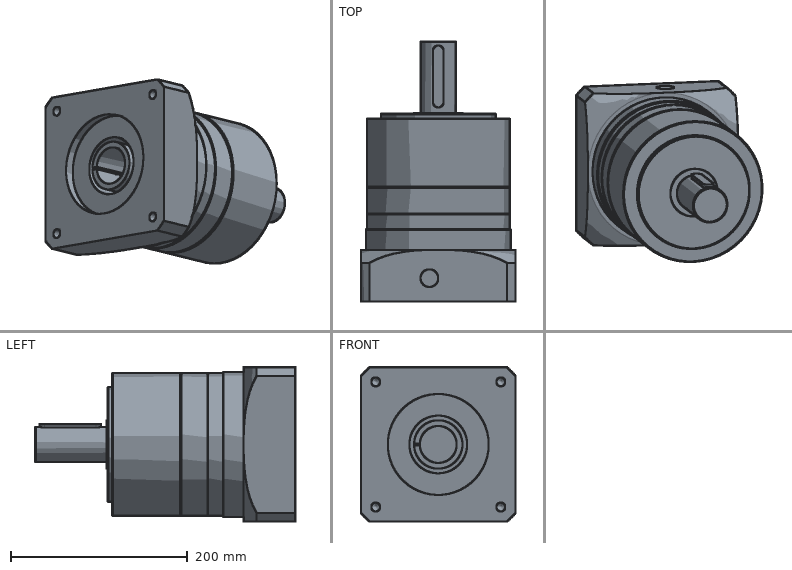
import cadquery as cq
import math


TOTAL_LENGTH = 294.5
PLATE_BACK_Y = 58.5
INPUT_STEP_Y = 82.2
RING_FRONT_Y = 98.7
OUTPUT_FRONT_Y = 129.5
HOUSING_END_Y = 207.3
PILOT_END_Y = 212.5
COLLAR_END_Y = 213.5

BODY_R = 81.0
INPUT_FLANGE_R = 82.2
PILOT_R = 65.0
COLLAR_R = 27.5
SHAFT_R = 20.0
EDGE_CHAMFER = 1.0
GROOVE_WIDTH = 1.0
GROOVE_DEPTH = 1.0

KEY_WIDTH = 12.0
KEY_LENGTH = 70.0
KEY_HEIGHT = 8.0
KEY_PROUD = 3.0
KEY_END_GAP = 4.7
KEY_BOTTOM_Z = SHAFT_R + KEY_PROUD - KEY_HEIGHT
KEY_CENTER_Y = TOTAL_LENGTH - KEY_END_GAP - KEY_LENGTH / 2

PLATE_SIDE = 175.0
PLATE_HALF = PLATE_SIDE / 2
CORNER_R = 117.0
SHOULDER_Y = 44.0
CROWN_MID_R = 102.8
CROWN_MID_Y = 53.3
POCKET_R = 57.0
POCKET_DEPTH = 11.8
PLATE_BORE_R = 32.7
BOLT_CIRCLE_R = 100.0
BOLT_HOLE_R = 5.0
BOLT_HOLE_DEPTH = 26.5
DRILL_TIP_ANGLE = 118.0

PLUG_R = 10.0
PLUG_DEPTH = 8.8
PLUG_X = -10.0
PLUG_Y = 26.5

HUB_R = 27.5
HUB_FRONT_Y = 11.0
HUB_BORE_R = 21.0
HUB_BORE_END_Y = INPUT_STEP_Y
SLIT_WIDTH = 2.7


def cylinder(radius, start_y, end_y):
    """Solid cylinder on the gearbox axis between two Y positions."""
    return cq.Workplane("XZ", origin=(0, start_y, 0)).circle(radius).extrude(start_y - end_y)


def key_shape():
    """Round-ended key lying along the shaft."""
    return (
        cq.Workplane("XY", origin=(0, KEY_CENTER_Y, KEY_BOTTOM_Z))
        .slot2D(KEY_LENGTH, KEY_WIDTH, 90)
        .extrude(KEY_HEIGHT)
    )


def plug_shape():
    """Round plug flush with the top side of the plate."""
    return (
        cq.Workplane("XY", origin=(PLUG_X, PLUG_Y, PLATE_HALF - PLUG_DEPTH))
        .circle(PLUG_R)
        .extrude(PLUG_DEPTH)
    )


def make_output_unit():
    """Output housing with pilot, collar and keyed shaft."""
    housing = cylinder(BODY_R, OUTPUT_FRONT_Y, HOUSING_END_Y).edges().chamfer(EDGE_CHAMFER)
    pilot = cylinder(PILOT_R, HOUSING_END_Y, PILOT_END_Y).faces(">Y").edges().chamfer(EDGE_CHAMFER)
    collar = cylinder(COLLAR_R, PILOT_END_Y, COLLAR_END_Y)
    shaft = cylinder(SHAFT_R, COLLAR_END_Y, TOTAL_LENGTH).faces(">Y").edges().chamfer(EDGE_CHAMFER)
    return housing.union(pilot).union(collar).union(shaft).cut(key_shape())


def make_ring_gear():
    """Plain ring gear section with a shallow groove beside each neighbour."""
    groove_r = BODY_R - GROOVE_DEPTH
    core = cylinder(groove_r, RING_FRONT_Y, OUTPUT_FRONT_Y)
    band = cylinder(BODY_R, RING_FRONT_Y + GROOVE_WIDTH, OUTPUT_FRONT_Y - GROOVE_WIDTH)
    return core.union(band)


def make_input_housing():
    """Stepped input housing with the slit clamp hub reaching into the plate."""
    flange = cylinder(INPUT_FLANGE_R, PLATE_BACK_Y, INPUT_STEP_Y)
    flange = flange.faces(">Y").edges().chamfer(EDGE_CHAMFER)
    body = cylinder(BODY_R, INPUT_STEP_Y, RING_FRONT_Y)
    hub = cylinder(HUB_R, HUB_FRONT_Y, PLATE_BACK_Y)
    bore = cylinder(HUB_BORE_R, HUB_FRONT_Y, HUB_BORE_END_Y)
    slit = cq.Workplane("XY").box(
        HUB_R, PLATE_BACK_Y - HUB_FRONT_Y, SLIT_WIDTH, centered=(False, False, True)
    ).translate((-HUB_R, HUB_FRONT_Y, 0))
    return flange.union(body).union(hub).cut(bore).cut(slit)


def bolt_hole():
    """Blind drilled hole with a conical tip, on the gearbox axis."""
    tip_depth = BOLT_HOLE_R / math.tan(math.radians(DRILL_TIP_ANGLE / 2))
    return (
        cq.Workplane("XY")
        .lineTo(BOLT_HOLE_R, 0)
        .lineTo(BOLT_HOLE_R, BOLT_HOLE_DEPTH)
        .lineTo(0, BOLT_HOLE_DEPTH + tip_depth)
        .close()
        .revolve(360, (0, 0, 0), (0, 1, 0))
    )


def make_adapter_plate():
    """Square motor plate with turned corners, crowned back, pocket and bolt holes."""
    turned_blank = (
        cq.Workplane("XY")
        .lineTo(CORNER_R, 0)
        .lineTo(CORNER_R, SHOULDER_Y)
        .threePointArc((CROWN_MID_R, CROWN_MID_Y), (PLATE_HALF, PLATE_BACK_Y))
        .lineTo(0, PLATE_BACK_Y)
        .close()
        .revolve(360, (0, 0, 0), (0, 1, 0))
    )
    square = cq.Workplane("XY").box(
        PLATE_SIDE, PLATE_BACK_Y, PLATE_SIDE, centered=(True, False, True)
    )
    plate = turned_blank.intersect(square)
    plate = plate.cut(cylinder(POCKET_R, 0, POCKET_DEPTH))
    plate = plate.cut(cylinder(PLATE_BORE_R, POCKET_DEPTH, PLATE_BACK_Y))
    bolt_offset = BOLT_CIRCLE_R / math.sqrt(2)
    for side_x in (-1, 1):
        for side_z in (-1, 1):
            hole = bolt_hole().translate((side_x * bolt_offset, 0, side_z * bolt_offset))
            plate = plate.cut(hole)
    return plate.cut(plug_shape())


output_unit = make_output_unit()
key = key_shape()
ring_gear = make_ring_gear()
input_housing = make_input_housing()
adapter_plate = make_adapter_plate()
plug = plug_shape()

result = cq.Compound.makeCompound([
    output_unit.val(),
    key.val(),
    ring_gear.val(),
    input_housing.val(),
    adapter_plate.val(),
    plug.val(),
])